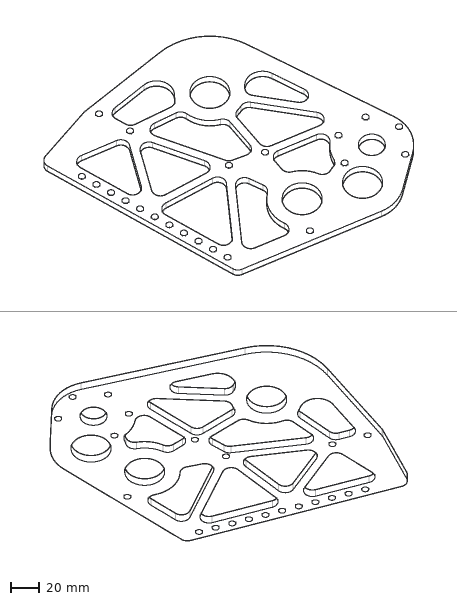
import cadquery as cq
import math

thickness = 6.5
bottom_length = 171.5
shoulder_height = 54.8
corner_radius = 6.5

left_bore = (63.5, 120.5)
right_bore = (199.2, 116.7)
upper_bore = (185.2, 148.2)
middle_bore = (172.2, 80.0)
bore_diameter = 28.5
upper_bore_diameter = 19.2
left_outline_radius = 50.7
right_outline_radius = 29.2
upper_outline_radius = 30.0

hole_diameter = 5.0
row_start = (31.7, 6.5)
row_length = 127.0
row_count = 11
bolt_circle_radius = 25.4
bolt_angles = (15, 75, 135, 195, 255)
outer_left_hole = (9.5, 59.5)
inner_left_hole = (36.5, 59.5)
right_hole = (193.2, 59.5)
upper_joint = (126.5, 99.1)
lower_joint = (112.1, 74.7)

half_strut = 3.2
rim = 12.8
bottom_rim = 12.3
bore_ring = 25.4
bolt_ring = 30.1
pocket_radius = 6.5
cap_radius = 12.8

top_foot = (167.2, 167.0)
left_foot = (6.2, 0)
middle_foot = (83.0, 0)
right_foot = (169.2, 6.5)


def heading(start, end):
    return math.atan2(end[1] - start[1], end[0] - start[0])


def step(point, angle, distance):
    return (point[0] + distance * math.cos(angle), point[1] + distance * math.sin(angle))


def through(start, end):
    return start, heading(start, end)


def inward(line, inset):
    """The line moved to its left by the inset."""
    point, angle = line
    return step(point, angle + math.pi / 2, inset), angle


def strut_side(start, end):
    """Left face of the strut centred on the line between two points."""
    return inward(through(start, end), half_strut)


def tangent(start, start_radius, end, end_radius):
    """Line touching two circles that both lie on its left."""
    lean = math.asin((start_radius - end_radius) / math.dist(start, end))
    angle = heading(start, end) + lean
    return step(start, angle - math.pi / 2, start_radius), angle


def meet(first, second):
    """Crossing point of two lines."""
    (x1, y1), angle1 = first
    (x2, y2), angle2 = second
    across = (x2 - x1) * math.sin(angle2) - (y2 - y1) * math.cos(angle2)
    return step((x1, y1), angle1, across / math.sin(angle2 - angle1))


def corners_of(sides):
    """Corner at the end of each side of a polygon."""
    following_sides = sides[1:] + sides[:1]
    return [meet(line, following) for line, following in zip(sides, following_sides)]


def prism(sides):
    return cq.Workplane("XY").polyline(corners_of(sides)).close().extrude(thickness)


def rounded_prism(sides, radii):
    """Polygonal prism; each radius rounds the corner at the end of the matching side."""
    solid = prism(sides)
    for (x, y), radius in zip(corners_of(sides), radii):
        corner_edge = cq.selectors.NearestToPointSelector((x, y, thickness / 2))
        solid = solid.edges(corner_edge).fillet(radius)
    return solid


def cylinders(points, diameter):
    return cq.Workplane("XY").pushPoints(points).circle(diameter / 2).extrude(thickness)


def pocket(sides, rings=()):
    """Opening inside the sides and outside the rings, with every corner rounded.

    The core is the area a cutter's centre can reach. Growing it by the cutter's radius rounds
    the corners, even where a side runs into a ring at a very sharp angle.
    """
    core = prism([inward(line, pocket_radius) for line in sides])
    for centre, ring_radius in rings:
        core = core.cut(cylinders([centre], 2 * (ring_radius + pocket_radius)))
    outline = core.faces("<Z").wires().val().offset2D(pocket_radius, "arc")[0]
    return cq.Workplane("XY").add(outline).toPending().extrude(thickness)


bottom_left = (0, 0)
bottom_right = (bottom_length, 0)
shoulder = (0, shoulder_height)
bottom_edge = through(bottom_left, bottom_right)
right_edge = tangent(bottom_right, 0, right_bore, right_outline_radius)
upper_right_edge = tangent(right_bore, right_outline_radius, upper_bore, upper_outline_radius)
top_edge = tangent(upper_bore, upper_outline_radius, left_bore, left_outline_radius)
slanted_edge = tangent(left_bore, left_outline_radius, shoulder, 0)
left_edge = through(shoulder, bottom_left)

plate = rounded_prism(
    [bottom_edge, right_edge, upper_right_edge, top_edge, slanted_edge, left_edge],
    [corner_radius, right_outline_radius, upper_outline_radius, left_outline_radius,
     corner_radius, corner_radius],
)

row_pitch = row_length / (row_count - 1)
row = [(row_start[0] + i * row_pitch, row_start[1]) for i in range(row_count)]
bolts = [step(upper_bore, math.radians(angle), bolt_circle_radius) for angle in bolt_angles]
single_holes = [outer_left_hole, inner_left_hole, right_hole, upper_joint, lower_joint]
plate = plate.cut(cylinders(row + bolts + single_holes, hole_diameter))
plate = plate.cut(cylinders([left_bore, right_bore, middle_bore], bore_diameter))
plate = plate.cut(cylinders([upper_bore], upper_bore_diameter))

top_rim_side = inward(top_edge, rim)
slanted_rim_side = inward(slanted_edge, rim)
right_rim_side = inward(right_edge, rim)
bottom_rim_side = inward(bottom_edge, bottom_rim)

rising_strut = (upper_joint, right_edge[1])
falling_strut = (upper_joint, right_edge[1] + math.pi)

diagonal_foot = row[row_count // 2]

cap_turn = math.acos((left_outline_radius - rim - cap_radius) / (bore_ring + cap_radius))


def ring_flank(edge, turn):
    """Line touching the left bore's ring, turned from the direction of the given edge."""
    angle = edge[1] + turn - math.pi / 2
    return step(left_bore, angle, bore_ring), angle - math.pi / 2


top_pocket = rounded_prism(
    [top_rim_side, ring_flank(top_edge, -cap_turn), strut_side(left_bore, top_foot)],
    [cap_radius, pocket_radius, pocket_radius],
)
left_pocket = rounded_prism(
    [ring_flank(slanted_edge, cap_turn), slanted_rim_side,
     strut_side(outer_left_hole, inner_left_hole), strut_side(inner_left_hole, left_bore)],
    [cap_radius, pocket_radius, pocket_radius, pocket_radius],
)
upper_pocket = pocket(
    [strut_side(top_foot, left_bore), strut_side(left_bore, middle_bore),
     inward(rising_strut, half_strut)],
    [(left_bore, bore_ring)],
)
central_pocket = pocket(
    [strut_side(left_bore, inner_left_hole), strut_side(inner_left_hole, lower_joint),
     strut_side(lower_joint, upper_joint), strut_side(middle_bore, left_bore)],
    [(left_bore, bore_ring)],
)
bore_pocket = pocket(
    [inward(falling_strut, half_strut), strut_side(left_bore, middle_bore),
     through(middle_bore, right_bore), through(right_bore, upper_bore), (upper_bore, math.pi)],
    [(middle_bore, bore_ring), (right_bore, bore_ring), (upper_bore, bolt_ring)],
)
right_pocket = pocket(
    [strut_side(lower_joint, right_foot), right_rim_side, strut_side(middle_bore, lower_joint)],
    [(middle_bore, bore_ring)],
)
joint_pocket = pocket(
    [strut_side(lower_joint, inner_left_hole), strut_side(inner_left_hole, diagonal_foot),
     strut_side(middle_foot, lower_joint)],
)
bottom_pocket = pocket(
    [strut_side(lower_joint, middle_foot), bottom_rim_side, strut_side(right_foot, lower_joint)],
)
corner_pocket = pocket(
    [strut_side(inner_left_hole, left_foot), bottom_rim_side,
     strut_side(diagonal_foot, inner_left_hole)],
)

pockets = [top_pocket, left_pocket, upper_pocket, central_pocket, bore_pocket,
           right_pocket, joint_pocket, bottom_pocket, corner_pocket]
for opening in pockets:
    plate = plate.cut(opening)

result = plate